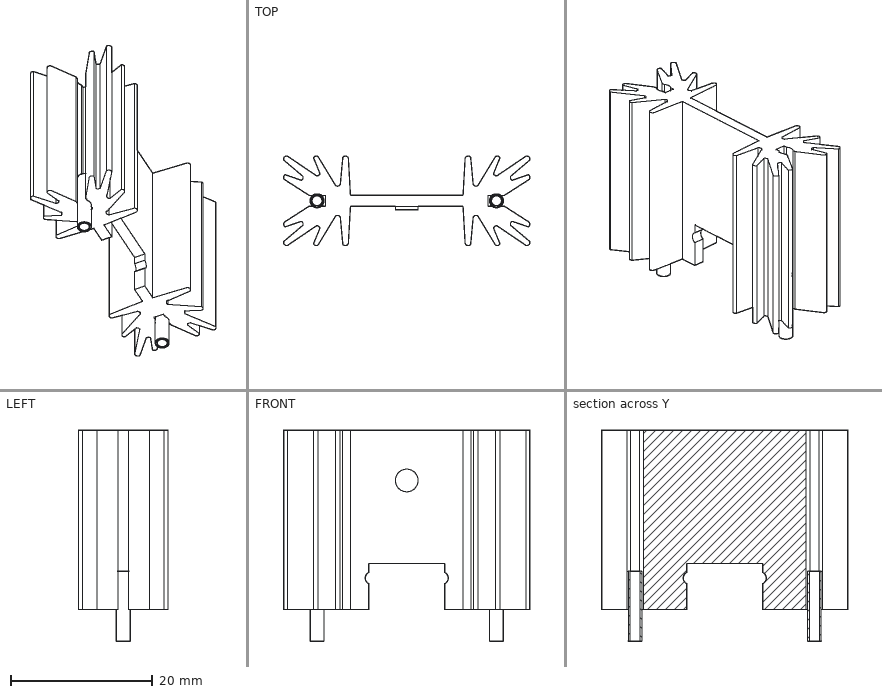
import cadquery as cq
import math

sink_length = 34.9
sink_depth = 12.7
sink_height = 25.4

web_thickness = 1.6
web_half_length = 7.95

fin_radius = 0.45
outer_fin_x = -sink_length / 2 + fin_radius
tip_y = sink_depth / 2 - fin_radius
side_fin_y = 3.3
middle_fin_x = -12.8
inner_fin_x = -8.7
inner_root = (-9.8, 2.55)
middle_root = (-12.7, 4.0)
side_root = (-15.15, 3.3)

pin_spacing = 25.4
pin_diameter = 2.0
pin_bore = 1.4
pin_length = 9.98
pin_protrusion = 4.5
pin_chamfer = 0.07
channel_width = 1.5
channel_inner_x = -11.5
channel_mouth_x = -13.82

boss_diameter = 3.2
boss_height = 0.5
boss_z = 18.3

notch_width = 10.75
notch_height = 6.53
relief_radius = 0.87
relief_center_x = 5.0
relief_z = 4.45


def tangent_points(first, second):
    """Ends of the line tangent to two circles (x, y, r); r > 0 turns left, r < 0 right, 0 is a corner."""
    x1, y1, r1 = first
    x2, y2, r2 = second
    direction = math.atan2(y2 - y1, x2 - x1) + math.asin((r2 - r1) / math.hypot(x2 - x1, y2 - y1))
    normal_x = math.sin(direction)
    normal_y = -math.cos(direction)
    start = (x1 + r1 * normal_x, y1 + r1 * normal_y)
    end = (x2 + r2 * normal_x, y2 + r2 * normal_y)
    return start, end


def arc_middle(circle, start, end):
    """Middle of the arc of a circle (x, y, r) between two points less than half a turn apart."""
    x, y, r = circle
    bisector_x = start[0] + end[0] - 2 * x
    bisector_y = start[1] + end[1] - 2 * y
    scale = abs(r) / math.hypot(bisector_x, bisector_y)
    return (x + bisector_x * scale, y + bisector_y * scale)


def make_fin_quarter():
    """Fins of the back left quarter, out from the middle plane of the web."""
    rounds = [
        (-web_half_length, web_thickness / 2, 0),
        (inner_fin_x, tip_y, fin_radius),
        (*inner_root, -fin_radius),
        (middle_fin_x, tip_y, fin_radius),
        (*middle_root, -fin_radius),
        (outer_fin_x, tip_y, fin_radius),
        (*side_root, -fin_radius),
        (outer_fin_x, side_fin_y, fin_radius),
        (channel_mouth_x, channel_width / 2, 0),
    ]
    flanks = [tangent_points(a, b) for a, b in zip(rounds, rounds[1:])]
    outline = cq.Workplane("XY").moveTo(-web_half_length, 0).lineTo(*flanks[0][0]).lineTo(*flanks[0][1])
    for circle, before, after in zip(rounds[1:], flanks, flanks[1:]):
        middle = arc_middle(circle, before[1], after[0])
        outline = outline.threePointArc(middle, after[0]).lineTo(*after[1])
    return outline.lineTo(channel_mouth_x, 0).close().extrude(sink_height)


def make_channel():
    """Slot with a round seat for the left pin, along the full height."""
    slot_length = channel_inner_x - channel_mouth_x
    slot = cq.Workplane("XY").box(slot_length, channel_width, sink_height, centered=(False, True, False))
    seat = cq.Workplane("XY").circle(pin_diameter / 2).extrude(sink_height)
    return slot.translate((channel_mouth_x, 0, 0)).union(seat.translate((-pin_spacing / 2, 0, 0)))


def make_notch():
    """Rectangular notch with two round reliefs, cut through the web."""
    notch = cq.Workplane("XY").box(notch_width, web_thickness, notch_height, centered=(True, True, False))
    reliefs = (
        cq.Workplane("XZ")
        .pushPoints([(-relief_center_x, relief_z), (relief_center_x, relief_z)])
        .circle(relief_radius)
        .extrude(web_thickness / 2, both=True)
    )
    return notch.union(reliefs)


def make_boss():
    """Disc standing on the front face of the web."""
    face = cq.Workplane("XZ", origin=(0, -web_thickness / 2, boss_z))
    return face.circle(boss_diameter / 2).extrude(boss_height)


def make_heat_sink():
    """Web with a fin cluster at each end, pin channels, boss and notch."""
    quarter = make_fin_quarter()
    cluster = quarter.union(quarter.mirror("XZ")).cut(make_channel())
    web_length = 2 * web_half_length
    web = cq.Workplane("XY").box(web_length, web_thickness, sink_height, centered=(True, True, False))
    sink = web.union(cluster).union(cluster.mirror("YZ"))
    return sink.union(make_boss()).cut(make_notch())


def make_pin(x):
    """Hollow pin standing below the heat sink, chamfered inside and outside at both ends."""
    pin = cq.Workplane("XY").circle(pin_diameter / 2).extrude(pin_length)
    bore = cq.Workplane("XY").circle(pin_bore / 2).extrude(pin_length)
    pin = pin.cut(bore).faces("<Z or >Z").chamfer(pin_chamfer)
    return pin.translate((x, 0, -pin_protrusion))


heat_sink = make_heat_sink()
pins = [make_pin(side * pin_spacing / 2) for side in (-1, 1)]

result = cq.Compound.makeCompound([heat_sink.val(), *[pin.val() for pin in pins]])